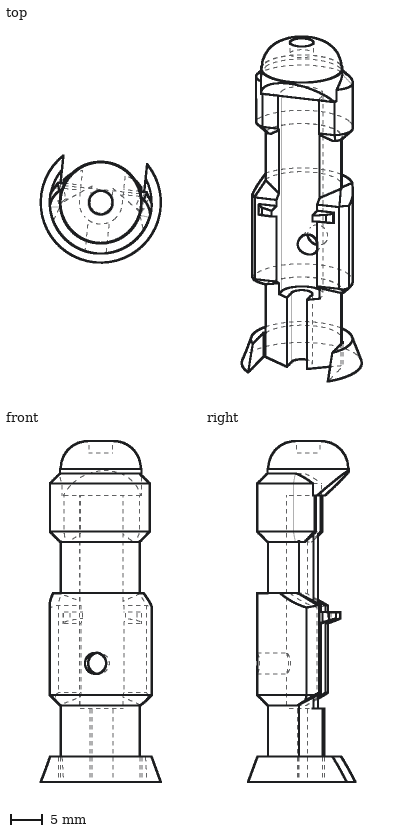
import cadquery as cq
import math

total_height = 53.5
foot_height = 4.0
bore_step_z = 11.55
barrel_bottom, barrel_top = 12.05, 29.65
collar_bottom, collar_top = 37.65, 48.4
cavity_top = 44.95
dome_base = 49.1

shaft_radius = 6.3
band_radius = 8.0
foot_bottom_radius = 18.9 / 2
foot_top_radius = 7.95
dome_neck_radius = 6.4
dome_radius = 6.3
dome_rounding = 4.3
clip_bore_radius = 3.35
lower_bore_radius = 1.65

turn_angle = 6.0
foot_slot_half_width = 6.6
shaft_lip_y = -0.8
shaft_lip_slope = 0.7
reach = 2 * foot_bottom_radius

band_chamfer = 1.6
chamfer_angle = 45.0
collar_chord_y = -1.5
collar_end_radius = 3.5
collar_back_y = 1.6
barrel_back_y = 2.4
barrel_lip_angle = 60.0
barrel_lip_distance = 7.2
barrel_bevel_angle = 70.0
barrel_bevel_distance = 5.45
barrel_bevel_drop = 2.0
barrel_back_bevel_length = 3.35

dome_slope_start_y = 2.05
dome_rim_height = 0.25

hook_outline_half = [(6.3, 0.0), (6.15, 2.95), (5.3, 3.85), (3.3, 4.75)]
hook_top = 26.65
hook_tip_thickness = 0.95
hook_root_drop = 0.8

pin_hole_diameter, pin_hole_z = 3.3, 18.6
dome_hole_diameter, dome_hole_depth = 3.7, 1.85


def mirrored(right_half):
    """Complete a point list that runs from the right side to the middle."""
    return right_half + [(-x, y) for x, y in reversed(right_half)]


def shaft():
    """Round front half with two lips that rise towards the middle of the open side."""
    side_x = math.sqrt(shaft_radius**2 - shaft_lip_y**2)
    peak_y = shaft_lip_y + shaft_lip_slope * side_x
    return (
        cq.Workplane("XY")
        .moveTo(side_x, shaft_lip_y)
        .threePointArc((0, -shaft_radius), (-side_x, shaft_lip_y))
        .lineTo(0, peak_y)
        .close()
        .extrude(cavity_top)
    )


def foot():
    """Cone with a wide slot towards the open side."""
    cone = (
        cq.Workplane("XZ")
        .polyline([(0, 0), (foot_bottom_radius, 0), (foot_top_radius, foot_height), (0, foot_height)])
        .close()
        .revolve(360, (0, 0, 0), (0, 1, 0))
    )
    slot = cq.Workplane("XY").box(
        2 * foot_slot_half_width, reach, foot_height, centered=(True, False, False)
    )
    return cone.cut(slot.translate((0, shaft_lip_y, 0)))


def collar_outline(z):
    """Round front, smaller arcs of the same tangent at the ends, flat back."""
    side_x = math.sqrt(band_radius**2 - collar_chord_y**2)
    centre_x = side_x - collar_end_radius
    end_angle = math.asin((collar_back_y - collar_chord_y) / collar_end_radius)
    end_x = centre_x + collar_end_radius * math.cos(end_angle)
    middle_x = centre_x + collar_end_radius * math.cos(end_angle / 2)
    middle_y = collar_chord_y + collar_end_radius * math.sin(end_angle / 2)
    return (
        cq.Workplane("XY", origin=(0, 0, z))
        .moveTo(side_x, collar_chord_y)
        .threePointArc((middle_x, middle_y), (end_x, collar_back_y))
        .lineTo(-end_x, collar_back_y)
        .threePointArc((-middle_x, middle_y), (-side_x, collar_chord_y))
        .threePointArc((0, -band_radius), (side_x, collar_chord_y))
        .close()
    )


def collar():
    upper_z = collar_top - band_chamfer
    lower_z = collar_bottom + band_chamfer
    body = collar_outline(lower_z).extrude(upper_z - lower_z)
    top = collar_outline(upper_z).extrude(band_chamfer, taper=chamfer_angle)
    bottom = collar_outline(lower_z).extrude(-band_chamfer, taper=chamfer_angle)
    return body.union(top).union(bottom)


def barrel_outline(z):
    """Round front, two slanted lip faces, flat back."""
    angle = math.radians(barrel_lip_angle)
    half_span = math.acos(barrel_lip_distance / band_radius)
    side_x = band_radius * math.sin(angle + half_span)
    side_y = band_radius * math.cos(angle + half_span)
    back_x = (barrel_lip_distance - barrel_back_y * math.cos(angle)) / math.sin(angle)
    return (
        cq.Workplane("XY", origin=(0, 0, z))
        .moveTo(side_x, side_y)
        .lineTo(back_x, barrel_back_y)
        .lineTo(-back_x, barrel_back_y)
        .lineTo(-side_x, side_y)
        .threePointArc((0, -band_radius), (side_x, side_y))
        .close()
    )


def wedge(start, z, run, rise):
    """Wide wedge that opens towards +X from a level edge, twice as long as its nominal slope."""
    return (
        cq.Workplane("XZ")
        .polyline([(start, z), (start + 2 * run, z), (start + 2 * run, z + 2 * rise)])
        .close()
        .extrude(reach, both=True)
    )


def barrel():
    lower_z = barrel_bottom + band_chamfer
    body = barrel_outline(lower_z).extrude(barrel_top - lower_z)
    body = body.union(barrel_outline(lower_z).extrude(-band_chamfer, taper=chamfer_angle))
    side_bevel = wedge(barrel_bevel_distance, barrel_top, barrel_bevel_drop, -barrel_bevel_drop)
    for direction in (90 - barrel_bevel_angle, 90 + barrel_bevel_angle):
        body = body.cut(side_bevel.rotate((0, 0, 0), (0, 0, 1), direction))
    back_bevel_start = barrel_back_y - barrel_back_bevel_length
    for z, rise in ((barrel_top, -barrel_bevel_drop), (barrel_bottom, barrel_bevel_drop)):
        back_bevel = wedge(back_bevel_start, z, barrel_back_bevel_length, rise)
        body = body.cut(back_bevel.rotate((0, 0, 0), (0, 0, 1), 90))
    return body


def hook():
    """Flat-topped ledge with a sloped underside."""
    tip_y = hook_outline_half[-1][1]
    tip_z = hook_top - hook_tip_thickness
    root_z = tip_z - hook_root_drop
    ledge = cq.Workplane("XY", origin=(0, 0, root_z)).polyline(mirrored(hook_outline_half)).close()
    side = (
        cq.Workplane("YZ")
        .polyline([
            (0, hook_top),
            (tip_y, hook_top),
            (tip_y, tip_z),
            (barrel_back_y, root_z),
            (0, root_z),
        ])
        .close()
        .extrude(reach, both=True)
    )
    return ledge.extrude(hook_top - root_z).intersect(side)


def dome():
    """Rounded cap on a short neck whose back is cut off by a sloped plane."""
    cap = (
        cq.Workplane("XY", origin=(0, 0, dome_base))
        .circle(dome_radius)
        .extrude(total_height - dome_base)
        .faces(">Z")
        .edges()
        .fillet(dome_rounding)
    )
    neck = cq.Workplane("XY", origin=(0, 0, cavity_top)).circle(dome_neck_radius)
    neck = neck.extrude(dome_base - cavity_top)
    slope_end = (dome_neck_radius, dome_base - dome_rim_height)
    slope = (
        cq.Workplane("YZ")
        .polyline([(dome_slope_start_y, cavity_top), slope_end, (reach, slope_end[1]), (reach, cavity_top)])
        .close()
        .extrude(reach, both=True)
    )
    return cap.union(neck.cut(slope))


def channel(radius, bottom, top):
    """Round bore on the axis, open towards the back over its full width."""
    height = top - bottom
    bore = cq.Workplane("XY").circle(radius).extrude(height)
    opening = cq.Workplane("XY").box(2 * radius, reach, height, centered=(True, False, False))
    return bore.union(opening).translate((0, 0, bottom))


pin_hole = cq.Workplane("XZ", origin=(0, 0, pin_hole_z)).circle(pin_hole_diameter / 2).extrude(reach)
dome_hole = (
    cq.Workplane("XY", origin=(0, 0, total_height))
    .circle(dome_hole_diameter / 2)
    .extrude(-dome_hole_depth)
)

result = shaft().union(foot()).union(barrel()).union(hook()).union(collar())
result = result.cut(channel(lower_bore_radius, 0, bore_step_z))
result = result.cut(channel(clip_bore_radius, bore_step_z, cavity_top))
result = result.union(dome()).cut(pin_hole).cut(dome_hole)
result = result.rotate((0, 0, 0), (0, 0, 1), -turn_angle)